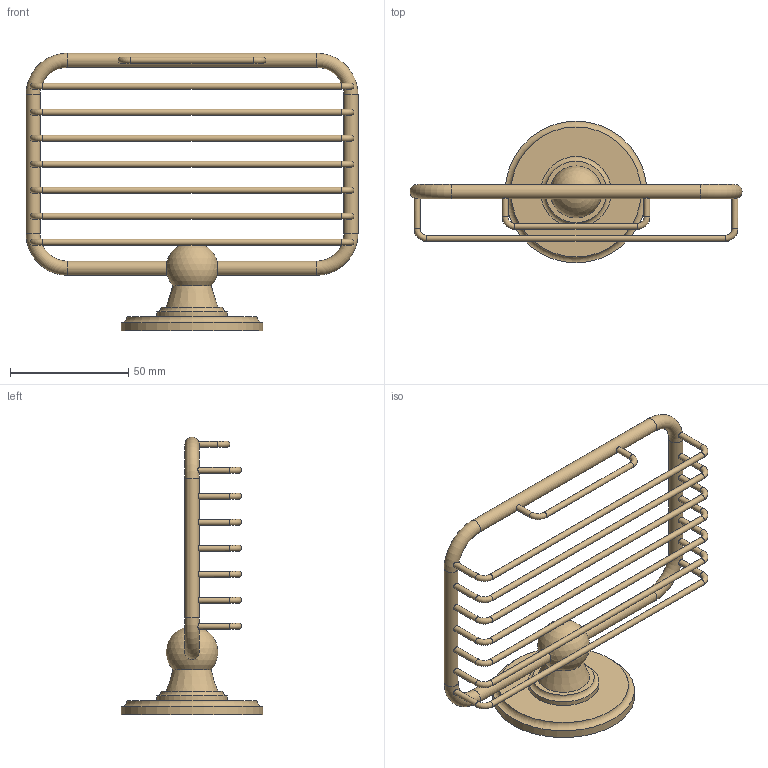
import cadquery as cq
import math

frame_rod_diameter = 6.0
frame_width = 134.5
frame_corner_radius = 14.5
frame_bottom_z = 26.5

wire_diameter = 2.5
wire_bend_radius = 4.0
wire_pitch = 11.0
long_wire_count = 7
long_wire_reach = 19.75
short_wire_width = 60.0
short_wire_reach = 14.75

frame_height = (long_wire_count + 1) * wire_pitch
frame_top_z = frame_bottom_z + frame_height

plate_radius = 30.0
plate_rim_height = 3.5
plate_cove_radius = 2.5
plate_top_z = plate_rim_height + plate_cove_radius
collar_radius = 15.0
collar_rim_z = 8.0
collar_cove_radius = 2.0
collar_top_z = collar_rim_z + collar_cove_radius
neck_bottom_radius = 11.0
neck_top_z = 19.0
ball_radius = 11.0


def make_frame():
    """Rounded rectangular loop of round bar: four straight rails and four quarter bends."""
    half_width = frame_width / 2
    half_straight = half_width - frame_corner_radius
    low_bend_z = frame_bottom_z + frame_corner_radius
    high_bend_z = frame_top_z - frame_corner_radius
    inset = frame_corner_radius * (1 - math.sqrt(0.5))
    path = (
        cq.Workplane("XZ")
        .moveTo(-half_straight, frame_bottom_z)
        .lineTo(half_straight, frame_bottom_z)
        .threePointArc((half_width - inset, frame_bottom_z + inset), (half_width, low_bend_z))
        .lineTo(half_width, high_bend_z)
        .threePointArc((half_width - inset, frame_top_z - inset), (half_straight, frame_top_z))
        .lineTo(-half_straight, frame_top_z)
        .threePointArc((inset - half_width, frame_top_z - inset), (-half_width, high_bend_z))
        .lineTo(-half_width, low_bend_z)
        .threePointArc((inset - half_width, frame_bottom_z + inset), (-half_straight, frame_bottom_z))
        .close()
    )
    return (
        cq.Workplane("YZ", origin=(-half_straight, 0, frame_bottom_z))
        .circle(frame_rod_diameter / 2)
        .sweep(path)
    )


def make_wire(leg_spacing, reach, height, frame):
    """U-shaped wire in front of the frame, its leg ends shaped to the frame bar they meet."""
    half_spacing = leg_spacing / 2
    half_straight = half_spacing - wire_bend_radius
    leg_end_y = wire_bend_radius - reach
    inset = wire_bend_radius * (1 - math.sqrt(0.5))
    path = (
        cq.Workplane("XY", origin=(0, 0, height))
        .moveTo(-half_spacing, 0)
        .lineTo(-half_spacing, leg_end_y)
        .threePointArc((inset - half_spacing, inset - reach), (-half_straight, -reach))
        .lineTo(half_straight, -reach)
        .threePointArc((half_spacing - inset, inset - reach), (half_spacing, leg_end_y))
        .lineTo(half_spacing, 0)
    )
    wire = (
        cq.Workplane("XZ", origin=(-half_spacing, 0, height))
        .circle(wire_diameter / 2)
        .sweep(path)
    )
    return wire.cut(frame)


def cove(edge_radius, edge_z, cove_radius):
    """Middle and end points of a hollow quarter arc rising inward from a rim edge."""
    middle_offset = cove_radius * math.sqrt(0.5)
    middle = (edge_radius - middle_offset, edge_z + cove_radius - middle_offset)
    end = (edge_radius - cove_radius, edge_z + cove_radius)
    return middle, end


def make_stand(frame):
    """Turned stand, its ball bored through for the lower rail of the frame."""
    neck_top_radius = math.sqrt(ball_radius**2 - (frame_bottom_z - neck_top_z)**2)
    profile = (
        cq.Workplane("XZ")
        .lineTo(plate_radius, 0)
        .lineTo(plate_radius, plate_rim_height)
        .threePointArc(*cove(plate_radius, plate_rim_height, plate_cove_radius))
        .lineTo(collar_radius, plate_top_z)
        .lineTo(collar_radius, collar_rim_z)
        .threePointArc(*cove(collar_radius, collar_rim_z, collar_cove_radius))
        .lineTo(neck_bottom_radius, collar_top_z)
        .lineTo(neck_top_radius, neck_top_z)
        .threePointArc((ball_radius, frame_bottom_z), (0, frame_bottom_z + ball_radius))
        .close()
    )
    return profile.revolve(360, (0, 0, 0), (0, 1, 0)).cut(frame)


frame = make_frame()
stand = make_stand(frame)
long_wires = [
    make_wire(frame_width, long_wire_reach, frame_bottom_z + row * wire_pitch, frame)
    for row in range(1, long_wire_count + 1)
]
short_wire = make_wire(short_wire_width, short_wire_reach, frame_top_z, frame)

result = cq.Compound.makeCompound(
    [frame.val(), stand.val(), short_wire.val(), *[wire.val() for wire in long_wires]]
)